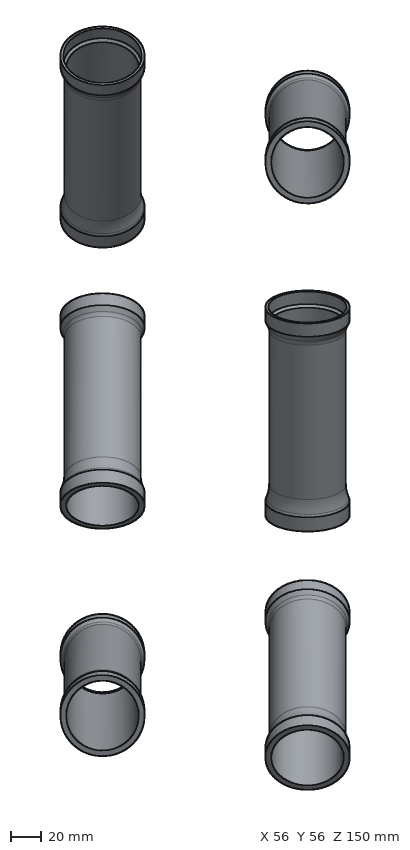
import cadquery as cq
import math

length = 150.0
collar_diameter = 56.0
collar_radius = collar_diameter / 2
body_radius = 25.5
bore_radius = 24.0

socket_radius = 26.0
socket_depth = 9.0
seat_height = 1.8

bottom_collar_height = 10.4
bottom_flare_angle = math.radians(20)
bottom_arc_height = 9.9

top_collar_height = 9.5
top_flare_angle = math.radians(25)
top_arc_height = 3.3


def flare_points(angle, arc_height):
    """Return radius and distance from the body for the middle and end of the
    tangent arc, and the distance at which its tangent cone reaches the collar."""
    arc_radius = arc_height / math.sin(angle)
    middle = (
        body_radius + arc_radius * (1 - math.cos(angle / 2)),
        arc_radius * math.sin(angle / 2),
    )
    end = (body_radius + arc_radius * (1 - math.cos(angle)), arc_height)
    flare_height = arc_height + (collar_radius - end[0]) / math.tan(angle)
    return middle, end, flare_height


def make_outer_body():
    """Pipe with a collar at each end, blended by a cone and a tangent arc."""
    low_middle, low_end, low_height = flare_points(bottom_flare_angle, bottom_arc_height)
    high_middle, high_end, high_height = flare_points(top_flare_angle, top_arc_height)
    body_bottom = bottom_collar_height + low_height
    body_top = length - top_collar_height - high_height
    profile = (
        cq.Workplane("XZ")
        .lineTo(collar_radius, 0)
        .lineTo(collar_radius, bottom_collar_height)
        .lineTo(low_end[0], body_bottom - low_end[1])
        .threePointArc((low_middle[0], body_bottom - low_middle[1]), (body_radius, body_bottom))
        .lineTo(body_radius, body_top)
        .threePointArc((high_middle[0], body_top + high_middle[1]), (high_end[0], body_top + high_end[1]))
        .lineTo(collar_radius, length - top_collar_height)
        .lineTo(collar_radius, length)
        .lineTo(0, length)
        .close()
    )
    return profile.revolve(360, (0, 0, 0), (0, 1, 0))


def make_passage():
    """Through bore that opens into the socket over a conical seat."""
    seat_top = length - socket_depth
    profile = (
        cq.Workplane("XZ")
        .lineTo(bore_radius, 0)
        .lineTo(bore_radius, seat_top - seat_height)
        .lineTo(socket_radius, seat_top)
        .lineTo(socket_radius, length)
        .lineTo(0, length)
        .close()
    )
    return profile.revolve(360, (0, 0, 0), (0, 1, 0))


result = make_outer_body().cut(make_passage())